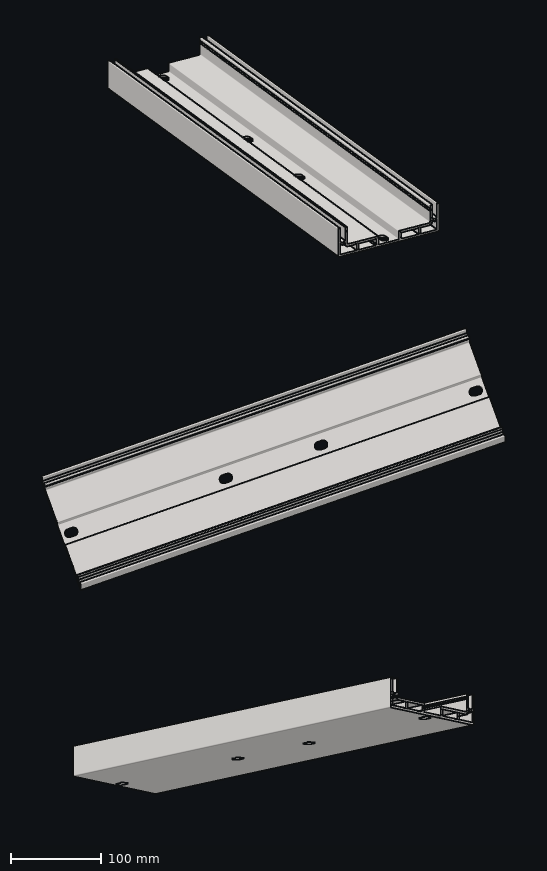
import cadquery as cq

length = 500.0
width = 130.5
height = 35.0

wall = 3.0
half_width = width / 2
outer_wall_inside = half_width - wall

channel_gap = 6.0
inner_wall_outside = outer_wall_inside - channel_gap
inner_wall_inside = inner_wall_outside - wall
channel_middle = (outer_wall_inside + inner_wall_outside) / 2
channel_web_top = 18.5
channel_web_bottom = channel_web_top - wall
channel_web_dip = 2.0

groove_middle = 29.5
groove_half_height = 1.5
groove_depth = 1.5

deck_top = 13.5
deck_bottom = deck_top - wall
trough_half_width = 13.0
trough_wall_outside = trough_half_width + wall
rib_middle = 40.0
bend_chamfer = 2.5
pocket_chamfer = 1.5

base_radius = 1.5
bend_radius = 1.5
inner_wall_top_radius = 1.5
deck_edge_radius = 1.0
outer_wall_top_radius = 0.5
trough_foot_radius = 0.5
channel_dip_radius = 1.0

slot_length = 14.0
slot_width = 9.0
slot_offsets = (56.0, 238.0)


def extrude_outline(points):
    """Extrude a closed outline of (y, z) points along the full length."""
    return cq.Workplane("YZ", origin=(-length / 2, 0, 0)).polyline(points).close().extrude(length)


def bar(y_min, y_max, z_min, z_max):
    """Full-length rectangular bar."""
    return extrude_outline([(y_min, z_min), (y_max, z_min), (y_max, z_max), (y_min, z_max)])


def channel_web():
    """V-shaped web between the outer and inner walls."""
    return extrude_outline([
        (outer_wall_inside, channel_web_top),
        (channel_middle, channel_web_top - channel_web_dip),
        (inner_wall_outside, channel_web_top),
        (inner_wall_outside, channel_web_bottom),
        (channel_middle, channel_web_bottom - channel_web_dip),
        (outer_wall_inside, channel_web_bottom),
    ])


def inner_wall_and_deck():
    """Grooved inner wall, the deck it turns into and the trough wall, as one bent strip."""
    return extrude_outline([
        (inner_wall_outside, height),
        (inner_wall_outside, deck_bottom + bend_chamfer),
        (inner_wall_outside - bend_chamfer, deck_bottom),
        (trough_wall_outside, deck_bottom),
        (trough_wall_outside, wall + pocket_chamfer),
        (trough_wall_outside + pocket_chamfer, wall),
        (trough_half_width, wall),
        (trough_half_width, deck_top),
        (inner_wall_inside, deck_top),
        (inner_wall_inside, groove_middle - groove_half_height),
        (inner_wall_inside + groove_depth, groove_middle),
        (inner_wall_inside, groove_middle + groove_half_height),
        (inner_wall_inside, height),
    ])


def round_long_edges(body):
    """Fillet the exposed long edges, each located by its (y, z) position."""
    rounded_edges = [
        (half_width, 0, base_radius),
        (half_width, height, outer_wall_top_radius),
        (outer_wall_inside, height, outer_wall_top_radius),
        (inner_wall_inside, height, inner_wall_top_radius),
        (inner_wall_inside, deck_top, bend_radius),
        (trough_half_width, deck_top, deck_edge_radius),
        (trough_half_width, wall, trough_foot_radius),
        (channel_middle, channel_web_top - channel_web_dip, channel_dip_radius),
    ]
    for y, z, radius in rounded_edges:
        edge = cq.selectors.NearestToPointSelector((0, y, z))
        body = body.edges(edge).fillet(radius)
    return body


def half_profile():
    """Everything on the +Y side of the profile."""
    base = bar(0, half_width, 0, wall)
    outer_wall = bar(outer_wall_inside, half_width, 0, height)
    rib = bar(rib_middle - wall / 2, rib_middle + wall / 2, wall, deck_bottom)
    body = base.union(outer_wall).union(rib).union(channel_web()).union(inner_wall_and_deck())
    return round_long_edges(body.clean())


def mounting_slots():
    """Cutters for the slots along the centre line."""
    centres = [(side * offset, 0) for offset in slot_offsets for side in (-1, 1)]
    return cq.Workplane("XY").pushPoints(centres).slot2D(slot_length, slot_width).extrude(wall)


half = half_profile()
profile = half.union(half.mirror("XZ"))
result = profile.cut(mounting_slots())